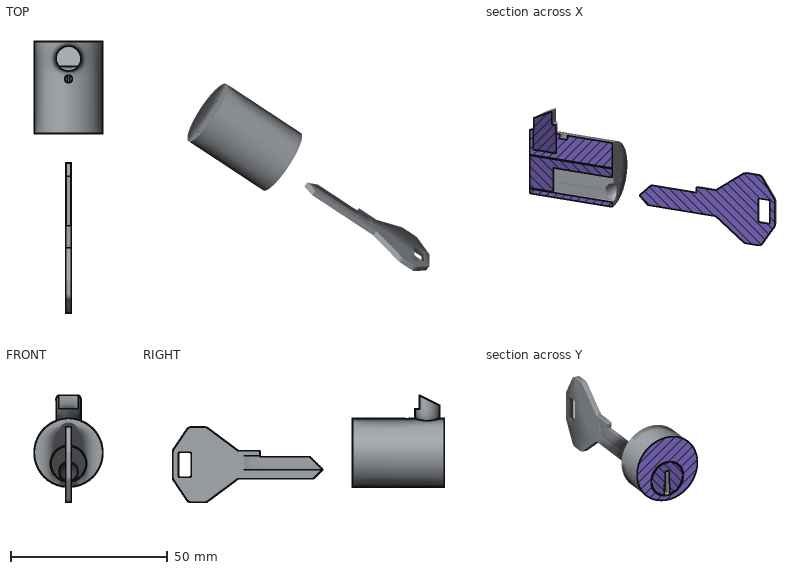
import cadquery as cq


OVERALL_LENGTH = 87.1

HOUSING_DIAMETER = 22.0
HOUSING_LENGTH = 29.5

RECESS_DIAMETER = 2.4
RECESS_Y = 17.5
RECESS_FLOOR_Z = 10.0
SLOT_WIDTH = 0.8
SLOT_DEPTH = 0.4

PLUG_DIAMETER = 11.3
PLUG_CLEARANCE = 0.1
PLUG_Z = -3.5

LEAD_IN_RADIUS = 3.05
LEAD_IN_Z = -6.0

BOLT_DIAMETER = 8.0
BOLT_Y = 24.0
BOLT_BOTTOM_Z = 4.35
BOLT_STEP_Z = 14.0
BOLT_FLAT_Y = 21.5
BOLT_TIP_Z = 18.5
BOLT_BACK_Z = 15.15

KEY_THICKNESS = 1.8
KEY_END_Y = HOUSING_LENGTH - OVERALL_LENGTH
KEY_CENTER_Z = -3.8
NECK_HALF_HEIGHT = 4.5
BOW_HALF_HEIGHT = 12.1
NECK_Y = -36.6
BOW_FULL_START_Y = -46.8
BOW_FULL_END_Y = -52.5
BOW_CORNER_RADIUS = 1.9
WINDOW_LENGTH = 4.0
WINDOW_HEIGHT = 7.9
WINDOW_Y = -53.6
WINDOW_CORNER_RADIUS = 0.4

SHOULDER_Y = -29.5
SHOULDER_RADIUS = 0.5
TIP_Y = -9.4
TIP_Z = -5.4
BLADE_TOP_Z = -1.2
BLADE_BOTTOM_Z = KEY_CENTER_Z - NECK_HALF_HEIGHT
TIP_UPPER_LENGTH = 4.3
TIP_LOWER_LENGTH = 3.05

THIN_THICKNESS = 1.3
THIN_TOP_Z = -1.0
THIN_END_Y = -32.6
RUNOUT_LENGTH = 2.1

KEYWAY_END_CLEARANCE = 0.9
KEYWAY_DEPTH = TIP_Y - SHOULDER_Y + KEYWAY_END_CLEARANCE


def cylinder_along_y(radius, z):
    """Cylinder of housing length whose axis is parallel to Y at height z."""
    axis_start = cq.Vector(0, 0, z)
    return cq.Workplane(cq.Solid.makeCylinder(radius, HOUSING_LENGTH, axis_start, cq.Vector(0, 1, 0)))


def cylinder_along_z(radius, y, z_low, z_high):
    """Vertical cylinder standing over the Y axis."""
    return cq.Workplane("XY", origin=(0, y, z_low)).circle(radius).extrude(z_high - z_low)


def block(width, y_low, y_high, z_low, z_high):
    """Box centred on x = 0."""
    corner = (-width / 2, y_low, z_low)
    return cq.Workplane("XY", origin=corner).box(width, y_high - y_low, z_high - z_low, centered=False)


def make_bolt():
    """Round latch bolt with a flat front face and a top sloping down to the back."""
    radius = BOLT_DIAMETER / 2
    back_y = BOLT_Y + radius
    side_profile = (
        cq.Workplane("YZ")
        .moveTo(BOLT_Y - radius, BOLT_BOTTOM_Z)
        .lineTo(back_y, BOLT_BOTTOM_Z)
        .lineTo(back_y, BOLT_BACK_Z)
        .lineTo(BOLT_FLAT_Y, BOLT_TIP_Z)
        .lineTo(BOLT_FLAT_Y, BOLT_STEP_Z)
        .lineTo(BOLT_Y - radius, BOLT_STEP_Z)
        .close()
        .extrude(radius, both=True)
    )
    return cylinder_along_z(radius, BOLT_Y, BOLT_BOTTOM_Z, BOLT_TIP_Z).intersect(side_profile)


def make_housing():
    """Cylinder with a plug bore, a blind bolt hole and a slotted round recess."""
    radius = HOUSING_DIAMETER / 2
    recess_radius = RECESS_DIAMETER / 2
    recess = cylinder_along_z(recess_radius, RECESS_Y, RECESS_FLOOR_Z, radius)
    slot_bottom_z = RECESS_FLOOR_Z - SLOT_DEPTH
    slot = cylinder_along_z(recess_radius, RECESS_Y, slot_bottom_z, RECESS_FLOOR_Z).intersect(
        block(SLOT_WIDTH, RECESS_Y - recess_radius, RECESS_Y + recess_radius, slot_bottom_z, RECESS_FLOOR_Z)
    )
    bolt_hole = cylinder_along_z(BOLT_DIAMETER / 2, BOLT_Y, BOLT_BOTTOM_Z, radius)
    plug_bore = cylinder_along_y(PLUG_DIAMETER / 2 + PLUG_CLEARANCE, PLUG_Z)
    body = cylinder_along_y(radius, 0)
    return body.cut(plug_bore).cut(bolt_hole).cut(recess).cut(slot)


def make_plug():
    """Plug with a stepped keyway that opens through its underside."""
    plug_bottom_z = PLUG_Z - PLUG_DIAMETER / 2
    lead_in = cq.Workplane("XY", origin=(0, 0, LEAD_IN_Z)).sphere(LEAD_IN_RADIUS)
    narrow_keyway = block(THIN_THICKNESS, 0, KEYWAY_DEPTH, TIP_Z, THIN_TOP_Z)
    wide_keyway = block(KEY_THICKNESS, 0, KEYWAY_DEPTH, plug_bottom_z, TIP_Z)
    blank = cylinder_along_y(PLUG_DIAMETER / 2, PLUG_Z)
    return blank.cut(lead_in).cut(narrow_keyway).cut(wide_keyway)


def plate(outline):
    """Extrude a closed YZ outline to the key thickness, centred on x = 0."""
    return outline.extrude(KEY_THICKNESS / 2, both=True)


def make_bow():
    upper_half = [
        (NECK_Y, NECK_HALF_HEIGHT),
        (BOW_FULL_START_Y, BOW_HALF_HEIGHT),
        (BOW_FULL_END_Y, BOW_HALF_HEIGHT),
        (KEY_END_Y, NECK_HALF_HEIGHT),
    ]
    lower_half = [(y, -z) for y, z in reversed(upper_half)]
    sketch_plane = cq.Workplane("YZ", origin=(0, 0, KEY_CENTER_Z))
    bow = plate(sketch_plane.polyline(upper_half + lower_half).close())
    margin = BOW_CORNER_RADIUS
    rounded_part = cq.selectors.BoxSelector(
        (-KEY_THICKNESS, KEY_END_Y - margin, KEY_CENTER_Z - BOW_HALF_HEIGHT - margin),
        (KEY_THICKNESS, NECK_Y - margin, KEY_CENTER_Z + BOW_HALF_HEIGHT + margin),
    )
    bow = bow.edges("|X").edges(rounded_part).fillet(BOW_CORNER_RADIUS)
    window = plate(sketch_plane.center(WINDOW_Y, 0).rect(WINDOW_LENGTH, WINDOW_HEIGHT))
    return bow.cut(window.edges("|X").fillet(WINDOW_CORNER_RADIUS))


def make_blade():
    neck_top_z = KEY_CENTER_Z + NECK_HALF_HEIGHT
    return plate(
        cq.Workplane("YZ")
        .moveTo(NECK_Y, BLADE_BOTTOM_Z)
        .lineTo(TIP_Y - TIP_LOWER_LENGTH, BLADE_BOTTOM_Z)
        .lineTo(TIP_Y, TIP_Z)
        .lineTo(TIP_Y - TIP_UPPER_LENGTH, BLADE_TOP_Z)
        .lineTo(SHOULDER_Y, BLADE_TOP_Z)
        .lineTo(SHOULDER_Y, neck_top_z - SHOULDER_RADIUS)
        .radiusArc((SHOULDER_Y - SHOULDER_RADIUS, neck_top_z), -SHOULDER_RADIUS)
        .lineTo(NECK_Y, neck_top_z)
        .close()
    )


def make_thinning_cut():
    """Material milled off the +X face of the blade, ending in a curved cutter run-out."""
    face_x = KEY_THICKNESS / 2
    floor_x = THIN_THICKNESS / 2
    depth = face_x - floor_x
    cutter_radius = (RUNOUT_LENGTH**2 + depth**2) / (2 * depth)
    return (
        cq.Workplane("XY", origin=(0, 0, TIP_Z))
        .moveTo(face_x, TIP_Y)
        .lineTo(floor_x, TIP_Y)
        .lineTo(floor_x, THIN_END_Y)
        .radiusArc((face_x, THIN_END_Y - RUNOUT_LENGTH), -cutter_radius)
        .close()
        .extrude(THIN_TOP_Z - TIP_Z)
    )


def make_key():
    thinning_cut = make_thinning_cut()
    return make_bow().union(make_blade()).cut(thinning_cut).cut(thinning_cut.mirror("YZ"))


housing = make_housing()
plug = make_plug()
bolt = make_bolt()
key = make_key()

result = cq.Compound.makeCompound([housing.val(), plug.val(), bolt.val(), key.val()])